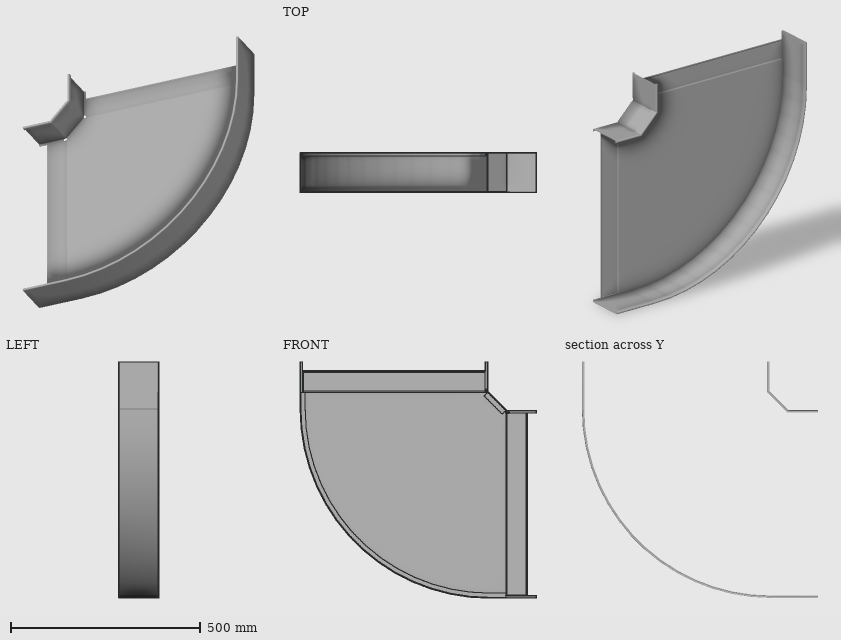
import cadquery as cq
import math


sheet = 1.5
lip_fold = 3.0
bottom_fold = 2.25

bend_span = 625.0
rail_height = 107.0
arc_radius = 500.0
inner_offset = 496.3
inner_tail = 78.0
lip_width = 6.5
lip_return = 10.0
tail_flange = 7.0
wide_flange = 13.5
tab_width = 15.5
tab_inset = 2.0
corner_relief = 6.0

step_start = 544.0
step_length = 3.5
plate_end = 601.8
rim_width = 2.5
strip_gap = 1.0

inner_corner = bend_span - inner_tail
diagonal_length = (inner_corner - inner_offset) * math.sqrt(2)
mouth_mirror = cq.Vector(1, 0, -1)


def both_mouths(body):
    """Join a feature of the +Z mouth with its copy at the +X mouth."""
    return body.union(body.mirror(mouth_mirror))


def section_plane(x, z, inward):
    """Plane across a rail: local x points into the tray, local y along +Y."""
    inward_direction = cq.Vector(*inward)
    return cq.Plane((x, 0, z), inward_direction, inward_direction.cross(cq.Vector(0, 1, 0)))


def lipped_wall(profile):
    """Continue a profile from the foot of the wall, around the lip and back down the inner face."""
    top = rail_height
    top_fold = top - lip_fold
    return (
        profile
        .lineTo(0, top_fold)
        .tangentArcPoint((lip_fold, top), relative=False)
        .lineTo(lip_width - lip_fold, top)
        .tangentArcPoint((lip_width, top_fold), relative=False)
        .lineTo(lip_width, top - lip_return)
        .lineTo(lip_width - sheet, top - lip_return)
        .lineTo(lip_width - sheet, top_fold)
        .tangentArcPoint((lip_width - lip_fold, top - sheet), relative=False)
        .lineTo(lip_fold, top - sheet)
        .tangentArcPoint((sheet, top_fold), relative=False)
        .lineTo(sheet, bottom_fold)
    )


def flange_foot(plane, width):
    """Start a profile at the flange's free edge and follow its outer face up to the wall."""
    return (
        cq.Workplane(plane)
        .moveTo(width, sheet)
        .lineTo(width, 0)
        .lineTo(bottom_fold, 0)
        .tangentArcPoint((0, bottom_fold), relative=False)
    )


def close_flange(profile):
    """Close a profile from the wall's inner face around the inside of the bottom fold."""
    return profile.tangentArcPoint((bottom_fold, sheet), relative=False).close()


def rail_section(plane, width):
    """Complete rail: flange, wall and lip."""
    return close_flange(lipped_wall(flange_foot(plane, width)))


def wall_section(plane):
    """Wall and lip only, standing on the bottom fold."""
    foot = cq.Workplane(plane).moveTo(sheet, bottom_fold).lineTo(0, bottom_fold)
    return lipped_wall(foot).wire()


def flange_section(plane, width):
    """Flange and bottom fold only, with a short overlap up the wall."""
    overlap_top = 2 * bottom_fold
    foot = flange_foot(plane, width).lineTo(0, overlap_top)
    return close_flange(foot.lineTo(sheet, overlap_top).lineTo(sheet, bottom_fold))


def curved_edge(offset, tail_end):
    """Open XZ outline following the outer rail at an inward offset: tail, arc, tail."""
    middle = arc_radius - (arc_radius - offset) * math.sqrt(0.5)
    return (
        cq.Workplane("XZ")
        .moveTo(offset, tail_end)
        .lineTo(offset, arc_radius)
        .threePointArc((middle, middle), (arc_radius, offset))
        .lineTo(tail_end, offset)
    )


def make_outer_rail():
    path = curved_edge(0, bend_span)
    mouth = section_plane(0, bend_span, (1, 0, 0))
    rail = rail_section(mouth, wide_flange).sweep(path)
    trim = (
        cq.Workplane("XY", origin=(tail_flange, 0, step_start))
        .box(wide_flange - tail_flange, sheet, bend_span - step_start, centered=False)
    )
    return rail.cut(both_mouths(trim))


def make_inner_rail():
    path = (
        cq.Workplane("XZ")
        .moveTo(inner_offset, bend_span)
        .lineTo(inner_offset, inner_corner)
        .lineTo(inner_corner, inner_offset)
        .lineTo(bend_span, inner_offset)
    )
    mouth = section_plane(inner_offset, bend_span, (-1, 0, 0))
    rail = wall_section(mouth).sweep(path, transition="right")
    flange = flange_section(mouth, tail_flange).extrude(inner_tail - corner_relief)
    rail = rail.union(both_mouths(flange))
    inset = tab_inset * math.sqrt(0.5)
    corner = section_plane(inner_offset + inset, inner_corner - inset, (-1, 0, -1))
    tab = flange_section(corner, tab_width).extrude(diagonal_length - 2 * tab_inset)
    return rail.union(tab)


def make_base_plate():
    diagonal_sum = inner_offset + inner_corner - bottom_fold * math.sqrt(2)
    outline = (
        curved_edge(bottom_fold, step_start)
        .lineTo(step_start, diagonal_sum - step_start)
        .lineTo(diagonal_sum - step_start, step_start)
        .close()
    )
    plate = outline.extrude(-sheet).translate((0, sheet, 0))
    rim_start = plate_end - rim_width
    outer_face = [
        (sheet, step_start),
        (0, step_start + step_length),
        (0, rim_start - rim_width),
        (sheet, rim_start),
        (sheet, plate_end),
    ]
    inner_face = [(y + sheet, z) for y, z in reversed(outer_face)]
    strip_left = tail_flange + strip_gap
    strip_right = inner_offset - tail_flange
    strip = (
        cq.Workplane("YZ", origin=(strip_left, 0, 0))
        .polyline(outer_face + inner_face)
        .close()
        .extrude(strip_right - strip_left)
    )
    return plate.union(both_mouths(strip))


outer_rail = make_outer_rail()
inner_rail = make_inner_rail()
base_plate = make_base_plate()

result = cq.Compound.makeCompound([outer_rail.val(), inner_rail.val(), base_plate.val()])